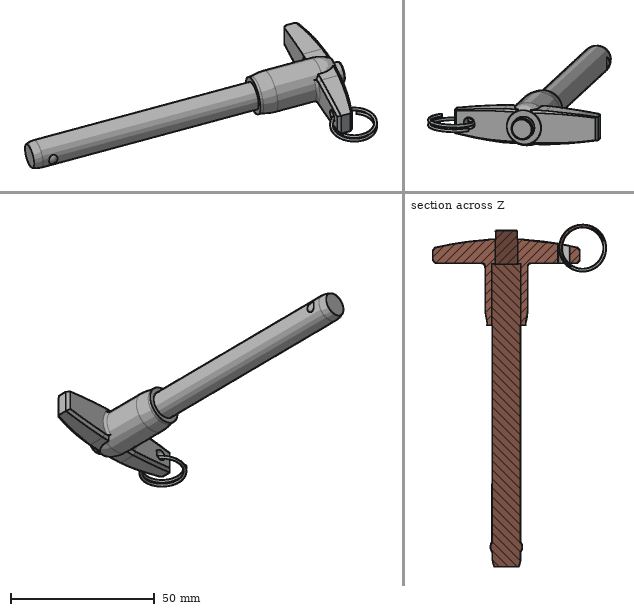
import cadquery as cq
import math


barrel_radius = 7.5
collar_radius = 6.8
collar_height = 1.1
taper_top = 6.2
barrel_top = 30.0
dome_start = 23.8
dome_top_radius = 6.1

wing_span = 51.2
wing_bottom = 21.5
wing_tip_top = 26.9
wing_root_half_depth = 6.1
wing_tip_half_depth = 4.2
wing_root_x = barrel_radius
wing_bulge = 0.18
edge_bevel = 1.1
top_bevel = 0.8
root_round = 1.0

shank_radius = 5.0
shank_end = -83.9
shank_socket_depth = 21.4
nose_length = 3.0
nose_radius = 4.3
ball_radius = 2.5
ball_reach = 5.6
ball_y = -77.0

button_radius = 3.8
button_top = 33.1
button_chamfer = 0.4

ring_x = 26.5
ring_y = 26.9
wire_radius = 0.54
ring_outer_radius = 8.2
ring_radius = ring_outer_radius - wire_radius
ring_pitch = 1.7
ring_top = 0.8
ring_start_angle = -50.0
ring_sweep_angle = 560.0
ring_hole_x = 20.0
ring_hole_radius = 2.0

half_span = wing_span / 2
AXIS_START = (0, 0)
AXIS_END = (0, 1)


def make_barrel():
    """Turned barrel with a collar, a curved taper and a domed top."""
    return (
        cq.Workplane("XY")
        .lineTo(collar_radius, 0)
        .lineTo(collar_radius, collar_height)
        .threePointArc(*taper_arc())
        .lineTo(barrel_radius, dome_start)
        .threePointArc(*dome_arc())
        .lineTo(0, barrel_top)
        .close()
        .revolve(360, AXIS_START, AXIS_END)
    )


def tangent_arc_middle(tangent_radius, tangent_y, end_radius, end_y):
    """Middle of an arc that leaves a cylinder tangentially and narrows to its end."""
    narrowing = tangent_radius - end_radius
    length = end_y - tangent_y
    arc_radius = (narrowing**2 + length**2) / (2 * narrowing)
    half_angle = math.asin(length / arc_radius) / 2
    middle_radius = tangent_radius - arc_radius * (1 - math.cos(half_angle))
    return middle_radius, tangent_y + arc_radius * math.sin(half_angle)


def taper_arc():
    middle = tangent_arc_middle(barrel_radius, taper_top, collar_radius, collar_height)
    return middle, (barrel_radius, taper_top)


def dome_arc():
    middle = tangent_arc_middle(barrel_radius, dome_start, dome_top_radius, barrel_top)
    return middle, (dome_top_radius, barrel_top)


def make_wing_plan():
    """Wing outline across the pin axis, flat at the root and curved to each tip."""
    middle_x = (wing_root_x + half_span) / 2
    middle_z = (wing_root_half_depth + wing_tip_half_depth) / 2 + wing_bulge
    height = barrel_top - wing_bottom
    return (
        cq.Workplane("XZ", origin=(0, barrel_top, 0))
        .moveTo(-wing_root_x, wing_root_half_depth)
        .lineTo(wing_root_x, wing_root_half_depth)
        .threePointArc((middle_x, middle_z), (half_span, wing_tip_half_depth))
        .lineTo(half_span, -wing_tip_half_depth)
        .threePointArc((middle_x, -middle_z), (wing_root_x, -wing_root_half_depth))
        .lineTo(-wing_root_x, -wing_root_half_depth)
        .threePointArc((-middle_x, -middle_z), (-half_span, -wing_tip_half_depth))
        .lineTo(-half_span, wing_tip_half_depth)
        .threePointArc((-middle_x, middle_z), (-wing_root_x, wing_root_half_depth))
        .close()
        .extrude(height)
    )


def make_wing_profile():
    """Wing outline along the pin axis: flat below, arched above."""
    return (
        cq.Workplane("XY")
        .moveTo(-half_span, wing_bottom)
        .lineTo(half_span, wing_bottom)
        .lineTo(half_span, wing_tip_top)
        .threePointArc((0, barrel_top), (-half_span, wing_tip_top))
        .close()
        .extrude(wing_root_half_depth, both=True)
    )


def make_wings():
    """Both wings, with a beveled upper rim and beveled lower edges.

    The left wing keeps its +Z lower edge sharp.
    """
    wings = make_wing_plan().intersect(make_wing_profile())
    wings = wings.faces(">Y").edges().chamfer(top_bevel)
    right_wing = wing_half(wings, 1)
    right_wing = right_wing.faces("<Y").edges("not <X").chamfer(edge_bevel)
    left_wing = wing_half(wings, -1)
    tip_and_underside = cq.selectors.BoxSelector(
        (-wing_span, 0, -barrel_radius),
        (-edge_bevel, barrel_top, edge_bevel),
    )
    left_wing = left_wing.faces("<Y").edges(tip_and_underside).edges("not >X").chamfer(edge_bevel)
    return right_wing.union(left_wing)


def wing_half(wings, side):
    """The part of the wings on one side of X = 0."""
    cutter = cq.Workplane("XY").box(wing_span, 2 * barrel_top, 2 * barrel_radius)
    return wings.intersect(cutter.translate((side * half_span, barrel_top, 0)))


def make_root_blend():
    """Concave ring that blends the barrel into the underside of the wings."""
    blend_bottom = wing_bottom - root_round
    corner_offset = root_round * (1 - math.sqrt(0.5))
    ring = (
        cq.Workplane("XY")
        .moveTo(0, blend_bottom)
        .lineTo(barrel_radius, blend_bottom)
        .threePointArc(
            (barrel_radius + corner_offset, wing_bottom - corner_offset),
            (barrel_radius + root_round, wing_bottom),
        )
        .lineTo(0, wing_bottom)
        .close()
        .revolve(360, AXIS_START, AXIS_END)
    )
    blend_depth = 2 * (wing_root_half_depth - edge_bevel)
    between_flanks = cq.Workplane("XY").box(wing_span, 2 * wing_bottom, blend_depth)
    return ring.intersect(between_flanks.translate((0, wing_bottom, 0)))


def make_bore(radius, bottom, top, x=0):
    """Cylinder along Y between two levels."""
    return cq.Workplane("XZ", origin=(x, bottom, 0)).circle(radius).extrude(bottom - top)


def make_handle():
    handle = make_barrel().union(make_wings()).union(make_root_blend())
    handle = handle.cut(make_bore(shank_radius, 0, shank_socket_depth))
    handle = handle.cut(make_bore(button_radius, shank_socket_depth, barrel_top))
    return handle.cut(make_bore(ring_hole_radius, 0, button_top, ring_hole_x))


def make_shank():
    """Shank with a rounded nose and two locking balls."""
    nose_start = shank_end + nose_length
    nose_middle = tangent_arc_middle(shank_radius, nose_start, nose_radius, shank_end)
    shank = (
        cq.Workplane("XY")
        .moveTo(0, shank_end)
        .lineTo(nose_radius, shank_end)
        .threePointArc(nose_middle, (shank_radius, nose_start))
        .lineTo(shank_radius, shank_socket_depth)
        .lineTo(0, shank_socket_depth)
        .close()
        .revolve(360, AXIS_START, AXIS_END)
    )
    for side in (-1, 1):
        ball_x = side * (ball_reach - ball_radius)
        shank = shank.union(cq.Workplane("XY").sphere(ball_radius).translate((ball_x, ball_y, 0)))
    return shank


def make_button():
    return make_bore(button_radius, shank_socket_depth, button_top).faces(">Y").chamfer(button_chamfer)


def make_split_ring():
    """Round wire wound down a helix and passing once through the wing hole."""
    path = cq.Wire.makeHelix(ring_pitch, ring_pitch * ring_sweep_angle / 360, ring_radius)
    climb = ring_pitch / (2 * math.pi)
    section = cq.Plane(origin=(ring_radius, 0, 0), xDir=(1, 0, 0), normal=(0, ring_radius, climb))
    ring = cq.Workplane(section).circle(wire_radius).sweep(cq.Workplane(path), isFrenet=True)
    return (
        ring.mirror("XY")
        .rotate((0, 0, 0), (0, 0, 1), ring_start_angle)
        .translate((ring_x, ring_y, ring_top))
    )


handle = make_handle()
shank = make_shank()
button = make_button()
split_ring = make_split_ring()

result = cq.Compound.makeCompound([handle.val(), shank.val(), button.val(), split_ring.val()])